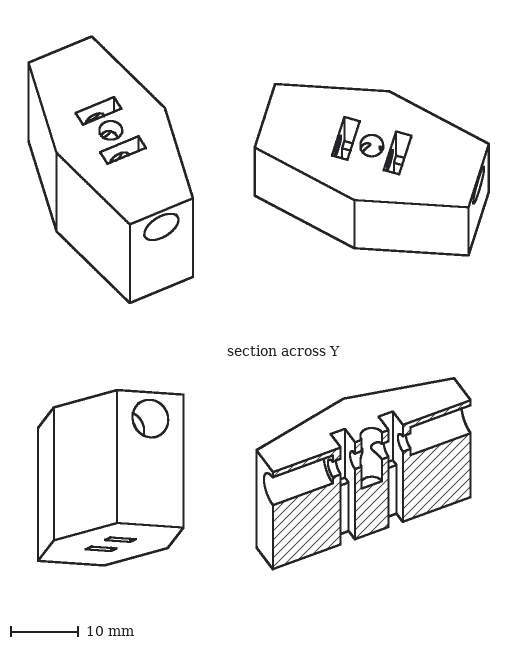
import cadquery as cq

length = 33.0
width = 18.0
height = 20.0
end_width = 10.5

passage_diameter = 3.1
counterbore_diameter = 5.65
counterbore_depth = 10.0
passage_drop = 3.95

center_hole_diameter = 3.4
center_hole_depth = 10.0

slot_spacing = 8.0
slot_width = 2.38
slot_length = 6.37
slot_depth = 10.0
lower_slot_length = 4.0


def x_cylinder(diameter, start_x, distance):
    """Cylinder on the passage axis, running along +X from start_x."""
    return (
        cq.Workplane("YZ", origin=(start_x, 0, -passage_drop))
        .circle(diameter / 2)
        .extrude(distance)
    )


def slots(slot_size_y, depth):
    """Two rectangular cutters sunk from the upper face."""
    return (
        cq.Workplane("XY")
        .pushPoints([(-slot_spacing / 2, 0), (slot_spacing / 2, 0)])
        .rect(slot_width, slot_size_y)
        .extrude(-depth)
    )


body = (
    cq.Workplane("XY")
    .polyline([
        (-length / 2, -end_width / 2),
        (0, -width / 2),
        (length / 2, -end_width / 2),
        (length / 2, end_width / 2),
        (0, width / 2),
        (-length / 2, end_width / 2),
    ])
    .close()
    .extrude(-height)
)

center_hole = cq.Workplane("XY").circle(center_hole_diameter / 2).extrude(-center_hole_depth)

body = body.cut(x_cylinder(passage_diameter, -length / 2, length))
for counterbore_start in (-length / 2, length / 2 - counterbore_depth):
    body = body.cut(x_cylinder(counterbore_diameter, counterbore_start, counterbore_depth))
body = body.cut(center_hole)
body = body.cut(slots(slot_length, slot_depth))
result = body.cut(slots(lower_slot_length, height))